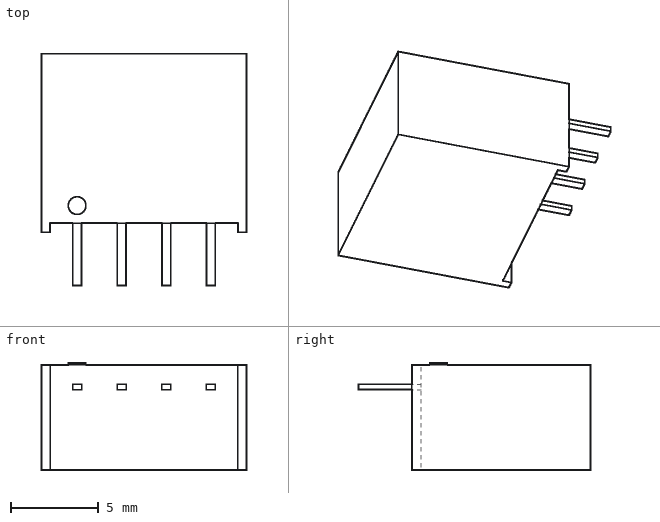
import cadquery as cq

case_width = 11.68
total_length = 13.2
total_height = 6.1

marker_height = 0.1
case_height = total_height - marker_height
pin_protrusion = 3.04
case_length = total_length - pin_protrusion
flange_width = 0.5
recess_depth = 0.51

pin_count = 4
pin_pitch = 2.53
pin_width = 0.51
pin_thickness = 0.3
pin_below_top = 1.25

marker_diameter = 1.0
marker_setback = 1.0

first_pin_x = -pin_pitch * (pin_count - 1) / 2
pin_z = case_height - pin_below_top


def make_case():
    block = cq.Workplane("XY").box(case_width, case_length, case_height, centered=(True, False, False))
    recess_width = case_width - 2 * flange_width
    recess = cq.Workplane("XY").box(recess_width, recess_depth, case_height, centered=(True, False, False))
    return block.cut(recess)


def make_pin(x):
    pin_length = pin_protrusion + recess_depth
    pin = cq.Workplane("XY").box(pin_width, pin_length, pin_thickness, centered=(True, False, True))
    return pin.translate((x, -pin_protrusion, pin_z))


def make_marker():
    marker = cq.Workplane("XY").circle(marker_diameter / 2).extrude(marker_height)
    return marker.translate((first_pin_x, recess_depth + marker_setback, case_height))


result = make_case().union(make_marker())
for index in range(pin_count):
    result = result.union(make_pin(first_pin_x + index * pin_pitch))